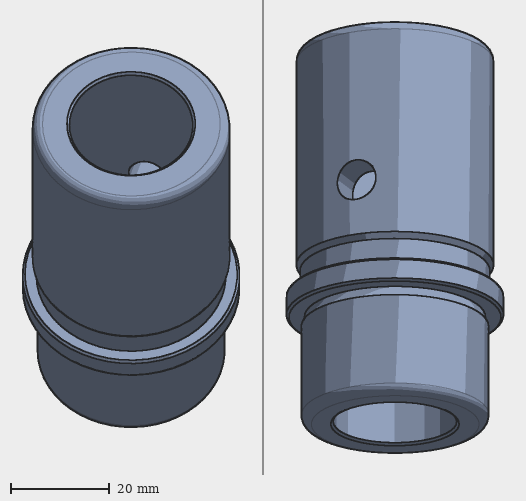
import cadquery as cq
import math

TOTAL_HEIGHT = 80.0
BORE_RADIUS = 12.5
BORE_CHAMFER = 0.5

SPIGOT_RADIUS = 19.0
SPIGOT_ROUND = 2.0
RELIEF_HEIGHT = 2.0
RELIEF_ARC_RADIUS = 3.5

COLLAR_RADIUS = 22.0
COLLAR_BOTTOM = 23.0
COLLAR_HEIGHT = 5.0
COLLAR_CHAMFER = 0.5

NECK_RADIUS = 19.25
NECK_HEIGHT = 5.0
NECK_TAPER_HEIGHT = 1.25

BARREL_RADIUS = 20.0
BARREL_ROUND = 2.0

SIDE_HOLE_DIAMETER = 8.5
SIDE_HOLE_Z = 46.0

COLLAR_TOP = COLLAR_BOTTOM + COLLAR_HEIGHT
RELIEF_BOTTOM = COLLAR_BOTTOM - RELIEF_HEIGHT
NECK_TOP = COLLAR_TOP + NECK_HEIGHT
BARREL_BOTTOM = NECK_TOP + NECK_TAPER_HEIGHT


def round_point(center_radius, center_z, radius, vertical_sign):
    """Middle of a quarter-round arc on the outer side of the profile."""
    offset = radius * math.sin(math.pi / 4)
    return center_radius + offset, center_z + vertical_sign * offset


def relief_radius_at(z):
    """Part radius on the concave relief arc, which is deepest at the collar face."""
    edge_reach = math.sqrt(RELIEF_ARC_RADIUS ** 2 - RELIEF_HEIGHT ** 2)
    reach = math.sqrt(RELIEF_ARC_RADIUS ** 2 - (COLLAR_BOTTOM - z) ** 2)
    return SPIGOT_RADIUS + edge_reach - reach


def make_body():
    """Revolve the half section, in (radius, z), about the Z axis."""
    spigot_flat = SPIGOT_RADIUS - SPIGOT_ROUND
    barrel_flat = BARREL_RADIUS - BARREL_ROUND
    barrel_round_start = TOTAL_HEIGHT - BARREL_ROUND
    relief_middle = RELIEF_BOTTOM + RELIEF_HEIGHT / 2
    collar_face_radius = COLLAR_RADIUS - COLLAR_CHAMFER
    mouth_radius = BORE_RADIUS + BORE_CHAMFER

    profile = (
        cq.Workplane("XZ")
        .moveTo(mouth_radius, 0)
        .lineTo(spigot_flat, 0)
        .threePointArc(
            round_point(spigot_flat, SPIGOT_ROUND, SPIGOT_ROUND, -1),
            (SPIGOT_RADIUS, SPIGOT_ROUND),
        )
        .lineTo(SPIGOT_RADIUS, RELIEF_BOTTOM)
        .threePointArc(
            (relief_radius_at(relief_middle), relief_middle),
            (relief_radius_at(COLLAR_BOTTOM), COLLAR_BOTTOM),
        )
        .lineTo(collar_face_radius, COLLAR_BOTTOM)
        .lineTo(COLLAR_RADIUS, COLLAR_BOTTOM + COLLAR_CHAMFER)
        .lineTo(COLLAR_RADIUS, COLLAR_TOP - COLLAR_CHAMFER)
        .lineTo(collar_face_radius, COLLAR_TOP)
        .lineTo(NECK_RADIUS, COLLAR_TOP)
        .lineTo(NECK_RADIUS, NECK_TOP)
        .lineTo(BARREL_RADIUS, BARREL_BOTTOM)
        .lineTo(BARREL_RADIUS, barrel_round_start)
        .threePointArc(
            round_point(barrel_flat, barrel_round_start, BARREL_ROUND, 1),
            (barrel_flat, TOTAL_HEIGHT),
        )
        .lineTo(mouth_radius, TOTAL_HEIGHT)
        .lineTo(BORE_RADIUS, TOTAL_HEIGHT - BORE_CHAMFER)
        .lineTo(BORE_RADIUS, BORE_CHAMFER)
        .close()
    )
    return profile.revolve(360, (0, 0, 0), (0, 1, 0))


def make_side_hole():
    """Cylinder running from the bore axis out through the +Y wall."""
    return (
        cq.Workplane("XZ", origin=(0, 0, SIDE_HOLE_Z))
        .circle(SIDE_HOLE_DIAMETER / 2)
        .extrude(-COLLAR_RADIUS)
    )


result = make_body().cut(make_side_hole())